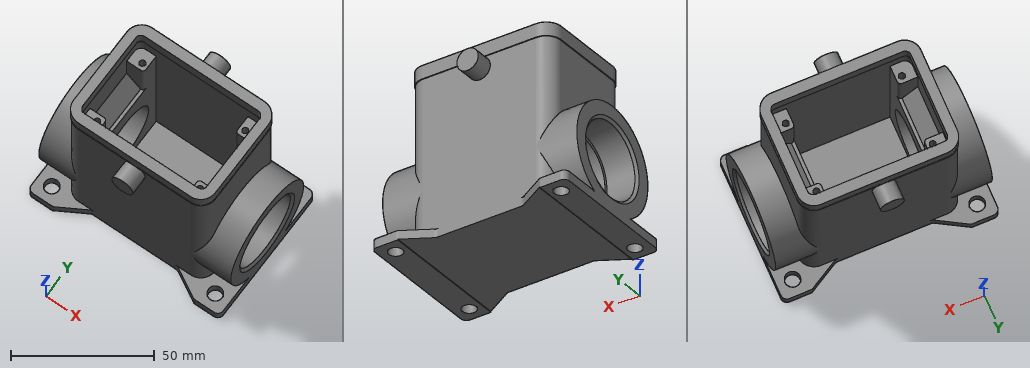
import cadquery as cq
import math

length = 82.0
height = 73.0
pin_span = 58.5

body_length = 59.9
body_width = 43.6
body_bottom = 0.3
corner_radius = 6.0
floor_thickness = 4.0

rim_height = 5.6
rim_overhang = 0.3
rim_bottom = height - rim_height

opening_length = 52.8
opening_width = 35.9
opening_radius = 2.1
undercut = 0.5
cavity_length = opening_length + 2 * undercut
cavity_width = opening_width + 2 * undercut
cavity_radius = 3.0

collar_radius = body_width / 2
collar_height = 22.6
bore_diameter = 30.5
bore_depth = 12.8
bore_chamfer_depth = 1.0
bore_mouth_diameter = 32.7
passage_diameter = 28.0

block_inner_x = 19.6
block_top = collar_height + collar_radius
ledge_width = 1.3

post_top = 60.9
post_inner_y = 11.0
screw_x = 22.0
screw_y = 13.5
screw_diameter = 2.4
screw_depth = 16.4
screw_tip_angle = 118.0

pin_diameter = 9.0
pin_height = 63.1

foot_width = 57.2
foot_thickness = 3.85
foot_corner_radius = 2.3
foot_shoulder_x = 30.1
foot_taper_angle = 30.0
foot_blend_radius = 1.6
foot_root_radius = 2.5
foot_hole_x = 34.9
foot_hole_y = 22.55
foot_hole_diameter = 5.7


def rounded_block(size_x, size_y, radius, bottom, top):
    block = cq.Workplane("XY").workplane(offset=bottom).rect(size_x, size_y).extrude(top - bottom)
    return block.edges("|Z").fillet(radius)


def box_between(x0, x1, y0, y1, z0, z1):
    return cq.Workplane("XY").box(x1 - x0, y1 - y0, z1 - z0, centered=False).translate((x0, y0, z0))


def cylinder_x(diameter, x0, x1):
    """Cylinder on the collar axis from x0 to x1."""
    return cq.Workplane("YZ", origin=(x0, 0, collar_height)).circle(diameter / 2).extrude(x1 - x0)


def both_ends(shape):
    """The shape together with its mirror image at the -X end."""
    return shape.union(shape.mirror("YZ"))


def make_shell():
    body = rounded_block(body_length, body_width, corner_radius, body_bottom, height)
    rim = rounded_block(
        body_length + 2 * rim_overhang,
        body_width + 2 * rim_overhang,
        corner_radius + rim_overhang,
        rim_bottom,
        height,
    )
    return body.union(rim)


def fillet_foot_corners(plate, x, y, radius):
    """Round the vertical foot edges at (x, -y) and (x, y)."""
    probe = 0.1
    for side in (-1, 1):
        near_corner = cq.selectors.BoxSelector(
            (x - probe, side * y - probe, -probe),
            (x + probe, side * y + probe, foot_thickness + probe),
        )
        plate = plate.edges("|Z").edges(near_corner).fillet(radius)
    return plate


def make_foot():
    """Foot plate at the +X end, with tapered shoulders running into the body sides."""
    half_width = foot_width / 2
    half_body = body_width / 2
    root_x = foot_shoulder_x - (half_width - half_body) / math.tan(math.radians(foot_taper_angle))
    back_x = root_x - 2 * foot_root_radius
    outline = [
        (back_x, -half_body),
        (root_x, -half_body),
        (foot_shoulder_x, -half_width),
        (length / 2, -half_width),
        (length / 2, half_width),
        (foot_shoulder_x, half_width),
        (root_x, half_body),
        (back_x, half_body),
    ]
    foot = cq.Workplane("XY").polyline(outline).close().extrude(foot_thickness)
    foot = fillet_foot_corners(foot, length / 2, half_width, foot_corner_radius)
    foot = fillet_foot_corners(foot, foot_shoulder_x, half_width, foot_blend_radius)
    foot = fillet_foot_corners(foot, root_x, half_body, foot_root_radius)
    holes = (
        cq.Workplane("XY")
        .pushPoints([(foot_hole_x, -foot_hole_y), (foot_hole_x, foot_hole_y)])
        .circle(foot_hole_diameter / 2)
        .extrude(foot_thickness)
    )
    relief = box_between(0, body_length / 2, -half_width, half_width, 0, body_bottom)
    return foot.cut(holes).cut(relief)


def make_inner_block():
    """Block behind the +X collar with a ledge and a ramp rising to the end wall."""
    ramp_start = block_inner_x + ledge_width
    wall_x = cavity_length / 2
    profile = [
        (block_inner_x, body_bottom),
        (wall_x, body_bottom),
        (wall_x, block_top + wall_x - ramp_start),
        (ramp_start, block_top),
        (block_inner_x, block_top),
    ]
    block = cq.Workplane("XZ").polyline(profile).close().extrude(cavity_width / 2, both=True)
    for side in (-1, 1):
        block = block.union(make_post(side))
    return block


def make_post(side):
    """Screw post in one corner of the +X end, rounded towards the middle of the cavity."""
    y0, y1 = sorted((side * post_inner_y, side * cavity_width / 2))
    post = box_between(block_inner_x, cavity_length / 2, y0, y1, block_top, post_top)
    inner_edge = "<Y" if side > 0 else ">Y"
    return post.edges("|Z").edges("<X").edges(inner_edge).fillet(ledge_width)


def make_cavity():
    opening = rounded_block(opening_length, opening_width, opening_radius, rim_bottom, height)
    chamber = rounded_block(
        cavity_length, cavity_width, cavity_radius, body_bottom + floor_thickness, rim_bottom
    )
    return opening.union(chamber).cut(both_ends(make_inner_block()))


def make_bore():
    """Cable bore at the +X end: chamfered mouth, wide bore, narrower passage into the cavity."""
    end_x = length / 2
    mouth_profile = [
        (end_x - bore_chamfer_depth, 0),
        (end_x - bore_chamfer_depth, bore_diameter / 2),
        (end_x, bore_mouth_diameter / 2),
        (end_x, 0),
    ]
    mouth = cq.Workplane("XY").polyline(mouth_profile).close().revolve(360, (0, 0), (1, 0))
    bore = cylinder_x(bore_diameter, end_x - bore_depth, end_x)
    passage = cylinder_x(passage_diameter, 0, end_x)
    return passage.union(bore).union(mouth.translate((0, 0, collar_height)))


def make_screw_holes():
    """Blind holes down the four posts, each ending in a drill point."""
    radius = screw_diameter / 2
    hole_bottom = post_top - screw_depth
    tip_length = radius / math.tan(math.radians(screw_tip_angle / 2))
    profile = [
        (0, post_top),
        (radius, post_top),
        (radius, hole_bottom),
        (0, hole_bottom - tip_length),
    ]
    hole = cq.Workplane("XZ").polyline(profile).close().revolve(360, (0, 0), (0, 1))
    holes = cq.Workplane("XY")
    for x in (-screw_x, screw_x):
        for y in (-screw_y, screw_y):
            holes = holes.add(hole.translate((x, y, 0)))
    return holes.combine()


def make_pins():
    return (
        cq.Workplane("XZ", origin=(0, 0, pin_height))
        .circle(pin_diameter / 2)
        .extrude(pin_span / 2, both=True)
    )


collars = cylinder_x(2 * collar_radius, -length / 2, length / 2)
result = make_shell().union(collars).union(both_ends(make_foot())).union(make_pins())
result = result.cut(make_cavity()).cut(both_ends(make_bore())).cut(make_screw_holes())